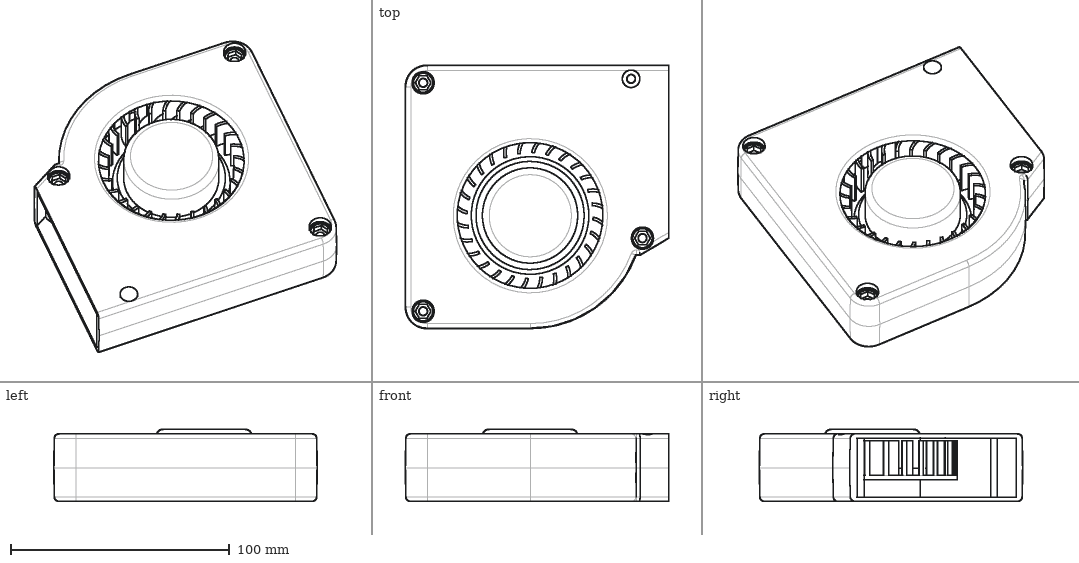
import cadquery as cq
import math


HOUSING_SIZE = 120.54
HOUSING_HEIGHT = 31.0
SCROLL_RADIUS = 51.75
LEFT = -57.1
RIGHT = LEFT + HOUSING_SIZE
FRONT = -SCROLL_RADIUS
BACK = FRONT + HOUSING_SIZE
CORNER_RADIUS = 10.0
LIP_Y = -18.1
LIP_END_X = 50.4
OUTLET_FRONT_Y = -10.4
MID_HEIGHT = HOUSING_HEIGHT / 2
DRAFT_ANGLE = 1.0
RIM_FILLET = 2.2

SIDE_WALL = 3.0
PLATE = 2.0
INLET_RADIUS = 33.3
INLET_FILLET = 1.98
OUTLET_OVERRUN = 10.0

SCREW_HOLE_RADIUS = 1.9
BOSS_WALL = 1.5
NUT_SEAT_POINTS = [(-48.9, 60.7), (-48.9, -43.8), (51.4, -10.35)]
SEAT_RADIUS = 5.05
SEAT_DEPTH = 3.0
INNER_SEAT_RADIUS = 4.4
INNER_SEAT_DEPTH = 4.0
NUT_SIDES = 6
NUT_ACROSS_FLATS = 6.2
NUT_POCKET_DEPTH = 7.0
PLAIN_POINT = (46.2, 62.5)
PLAIN_BORE_RADIUS = 4.0
PLAIN_BORE_DEPTH = 15.5

HUB_TOP = 33.04
HUB_RADIUS = 21.8
HUB_FILLET = 3.0
DISC_TOP = 12.0
DISC_THICKNESS = 2.0
DISC_RADIUS = 38.8
CONE_TOP = 15.3
CONE_TOP_RADIUS = 24.75
CONE_BASE_RADIUS = 26.9

BLADE_COUNT = 28
BLADE_PHASE = 10.2
BLADE_TOP = 27.8
BLADE_INNER_RADIUS = 28.8
BLADE_THICKNESS = 1.25
BLADE_CURVE_RADIUS = 11.0
BLADE_LEAN = 11.0
BLADE_SWEEP = 76.0


def outline(workplane):
    """Scroll outline, carried past the outlet plane so that the outlet can be cut off square."""
    overrun_x = RIGHT + OUTLET_OVERRUN
    slope = (OUTLET_FRONT_Y - LIP_Y) / (RIGHT - LIP_END_X)
    lip_start_x = math.sqrt(SCROLL_RADIUS**2 - LIP_Y**2)
    arc_middle = math.atan2(LIP_Y, lip_start_x) / 2 - math.pi / 4
    return (
        workplane.moveTo(LEFT + CORNER_RADIUS, FRONT)
        .lineTo(0, FRONT)
        .threePointArc(
            (SCROLL_RADIUS * math.cos(arc_middle), SCROLL_RADIUS * math.sin(arc_middle)),
            (lip_start_x, LIP_Y),
        )
        .lineTo(LIP_END_X, LIP_Y)
        .lineTo(overrun_x, OUTLET_FRONT_Y + slope * OUTLET_OVERRUN)
        .lineTo(overrun_x, BACK)
        .lineTo(LEFT + CORNER_RADIUS, BACK)
        .radiusArc((LEFT, BACK - CORNER_RADIUS), -CORNER_RADIUS)
        .lineTo(LEFT, FRONT + CORNER_RADIUS)
        .radiusArc((LEFT + CORNER_RADIUS, FRONT), -CORNER_RADIUS)
        .close()
    )


def cylinder(radius, bottom, top, point=(0, 0)):
    return cq.Workplane("XY").workplane(offset=bottom).center(*point).circle(radius).extrude(top - bottom)


def housing_shell():
    """Outer block: both halves taper away from mid height and have rounded rims."""
    mid_plane = cq.Workplane("XY").workplane(offset=MID_HEIGHT)
    upper = outline(mid_plane).extrude(MID_HEIGHT, taper=DRAFT_ANGLE)
    upper = upper.faces(">Z").edges().fillet(RIM_FILLET)
    lower = upper.mirror("XY", (0, 0, MID_HEIGHT))
    block = upper.union(lower, clean=False)
    outlet_trim = (
        cq.Workplane("XY")
        .box(2 * OUTLET_OVERRUN, 2 * HOUSING_SIZE, HOUSING_HEIGHT, centered=(False, True, False))
        .translate((RIGHT, 0, 0))
    )
    return block.cut(outlet_trim)


def cavity():
    """Air space, open at the outlet, with full-height bosses left around the screw holes."""
    floor_plane = cq.Workplane("XY").workplane(offset=PLATE)
    space = outline(floor_plane).offset2D(-SIDE_WALL).extrude(HOUSING_HEIGHT - 2 * PLATE)
    for point in NUT_SEAT_POINTS:
        space = space.cut(cylinder(SEAT_RADIUS + BOSS_WALL, 0, HOUSING_HEIGHT, point))
    return space.cut(cylinder(PLAIN_BORE_RADIUS + BOSS_WALL, 0, HOUSING_HEIGHT, PLAIN_POINT))


def inlet():
    """Round opening in the top plate, flaring outward along a quarter-round rim."""
    rim_radius = INLET_RADIUS + INLET_FILLET
    rim_bottom = HOUSING_HEIGHT - INLET_FILLET
    bend = INLET_FILLET * math.sqrt(0.5)
    return (
        cq.Workplane("XZ")
        .moveTo(0, HOUSING_HEIGHT - PLATE)
        .lineTo(INLET_RADIUS, HOUSING_HEIGHT - PLATE)
        .lineTo(INLET_RADIUS, rim_bottom)
        .threePointArc((rim_radius - bend, rim_bottom + bend), (rim_radius, HOUSING_HEIGHT))
        .lineTo(0, HOUSING_HEIGHT)
        .close()
        .revolve(360, (0, 0), (0, 1))
    )


def nut_seat_hole(point):
    """Screw hole below a two-step round seat and a hexagonal nut pocket."""
    hole = cylinder(SCREW_HOLE_RADIUS, 0, HOUSING_HEIGHT, point)
    seat = cylinder(SEAT_RADIUS, HOUSING_HEIGHT - SEAT_DEPTH, HOUSING_HEIGHT, point)
    inner_seat = cylinder(INNER_SEAT_RADIUS, HOUSING_HEIGHT - INNER_SEAT_DEPTH, HOUSING_HEIGHT, point)
    nut_pocket = (
        cq.Workplane("XY")
        .polygon(NUT_SIDES, NUT_ACROSS_FLATS, circumscribed=True)
        .extrude(NUT_POCKET_DEPTH)
        .rotate((0, 0, 0), (0, 0, 1), 180 / NUT_SIDES)
        .translate((*point, HOUSING_HEIGHT - NUT_POCKET_DEPTH))
    )
    return hole.union(seat).union(inner_seat).union(nut_pocket)


def plain_hole():
    """Screw hole with a deep counterbore, beside the outlet."""
    hole = cylinder(SCREW_HOLE_RADIUS, 0, HOUSING_HEIGHT, PLAIN_POINT)
    bore_floor = HOUSING_HEIGHT - PLAIN_BORE_DEPTH
    return hole.union(cylinder(PLAIN_BORE_RADIUS, bore_floor, HOUSING_HEIGHT, PLAIN_POINT))


def make_housing():
    housing = housing_shell().cut(cavity(), clean=False).cut(inlet(), clean=False)
    for point in NUT_SEAT_POINTS:
        housing = housing.cut(nut_seat_hole(point), clean=False)
    return housing.cut(plain_hole(), clean=False)


def make_blade():
    """Curved blade that starts near radial at its inner end and bends clockwise out to the disc edge."""
    start_angle = math.radians(90 - BLADE_LEAN)
    sweep = math.radians(BLADE_SWEEP)
    center_x = BLADE_INNER_RADIUS - BLADE_CURVE_RADIUS * math.cos(start_angle)
    center_y = -BLADE_CURVE_RADIUS * math.sin(start_angle)

    def arc_point(radius, share):
        angle = start_angle - share * sweep
        return (center_x + radius * math.cos(angle), center_y + radius * math.sin(angle))

    convex = BLADE_CURVE_RADIUS + BLADE_THICKNESS / 2
    concave = BLADE_CURVE_RADIUS - BLADE_THICKNESS / 2
    strip = (
        cq.Workplane("XY")
        .workplane(offset=DISC_TOP)
        .moveTo(*arc_point(convex, 0))
        .threePointArc(arc_point(convex, 0.5), arc_point(convex, 1))
        .lineTo(*arc_point(concave, 1))
        .threePointArc(arc_point(concave, 0.5), arc_point(concave, 0))
        .close()
        .extrude(BLADE_TOP - DISC_TOP)
    )
    return strip.intersect(cylinder(DISC_RADIUS, DISC_TOP, BLADE_TOP))


def make_impeller():
    """Hub standing on the housing floor, with a disc, a conical step and a ring of blades."""
    hub = cylinder(HUB_RADIUS, PLATE, HUB_TOP).faces(">Z").edges().fillet(HUB_FILLET)
    disc = cylinder(DISC_RADIUS, DISC_TOP - DISC_THICKNESS, DISC_TOP)
    cone = (
        cq.Workplane("XZ")
        .polyline([(0, DISC_TOP), (CONE_BASE_RADIUS, DISC_TOP), (CONE_TOP_RADIUS, CONE_TOP), (0, CONE_TOP)])
        .close()
        .revolve(360, (0, 0), (0, 1))
    )
    impeller = hub.union(disc).union(cone)
    blade = make_blade()
    for index in range(BLADE_COUNT):
        angle = BLADE_PHASE + index * 360 / BLADE_COUNT
        impeller = impeller.union(blade.rotate((0, 0, 0), (0, 0, 1), angle))
    return impeller


housing = make_housing()
impeller = make_impeller()

result = cq.Compound.makeCompound([housing.solids().val(), impeller.solids().val()])